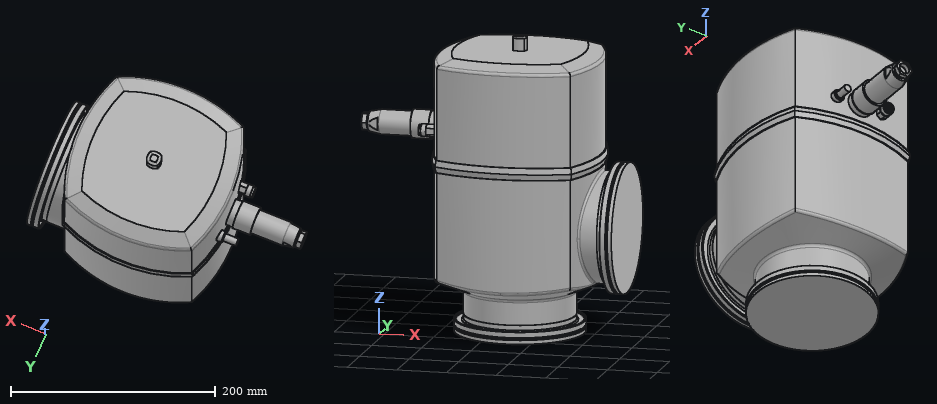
import cadquery as cq
import math


body_half_width = 82.0
body_half_corner = 67.3
body_top = 281.5
body_floor = 42.5
cone_angle = 22
roof_width = 17.0
roof_drop = 6.2
rim_radius = 3.5

band_height = 175.0
band_half_height = 6.2
band_edge_offset = 1.0
band_crest_offset = 2.2

neck_radius = 55.8
neck_end_relief = 0.3
neck_end_length = 5.0
flange_radius = 65.0
flange_thickness = 12.0
groove_start = 4.0
groove_slope_end = 5.0
groove_end = 6.5
groove_depth = 1.5
clamp_lip_width = 1.8
clamp_slope_width = 1.8
clamp_recess_depth = 1.2
side_flange_x = 108.0
side_port_height = 108.0
port_root_radius = 2.5

stem_half_width = 7.0
stem_half_corner = 5.5
stem_top = 295
stem_embed = 3
stem_chamfer_width = 3.5
stem_chamfer_height = 1.2

fitting_height = 201.5
fitting_root_x = -73.8
small_fitting_y = 26.3

connector_tip_x = -158.0
nut_flats = 16.0
nut_length = 5.3
nut_bore_radius = 5.5
connector_steps = [
    (connector_tip_x + nut_length, 7.7),
    (-151.3, 7.7),
    (-151.3, 10.0),
    (-139.8, 12.5),
    (-107.5, 12.5),
    (-107.5, 14.5),
    (-88.8, 14.5),
    (-88.8, 13.5),
    (fitting_root_x, 13.5),
]
grip_half_width = 10.3
grip_end_x = -141.0

plug_tip_x = -95.0
plug_hex_x = -87.3
plug_hex_flats = 11.0
plug_radius = 6.2
plug_tip_radius = 5.3
plug_tip_length = 2.5
plug_bore_radius = 3.8
plug_bore_depth = 2.5
plug_pin_radius = 1.5

pin_tip_x = -98.8
pin_radius = 3.8
pin_collar_x = -85.3
pin_collar_radius = 6.0
pin_collar_chamfer = 1.0

selection_margin = 0.3


def bulged_square(plane, half_width, half_corner):
    """Square outline with four outward arcs."""
    c = half_corner
    return (
        plane.moveTo(c, -c)
        .threePointArc((half_width, 0), (c, c))
        .threePointArc((0, half_width), (-c, c))
        .threePointArc((-half_width, 0), (-c, -c))
        .threePointArc((0, -half_width), (c, -c))
        .close()
    )


def offset_body_outline(height, offset):
    """Body outline moved outward by a distance, keeping the arc centres."""
    bulge = body_half_width - body_half_corner
    arc_radius = (body_half_corner**2 + bulge**2) / (2 * bulge)
    centre = arc_radius - body_half_width
    radius = arc_radius + offset
    corner = (math.sqrt(2 * radius**2 - centre**2) - centre) / 2
    plane = cq.Workplane("XY").workplane(offset=height)
    return bulged_square(plane, body_half_width + offset, corner)


def slab(bottom, top):
    """Selector for edges lying wholly between two heights."""
    reach = 2 * body_half_width
    low = (-reach, -reach, bottom - selection_margin)
    high = (reach, reach, top + selection_margin)
    return cq.selectors.BoxSelector(low, high, boundingbox=True)


def revolve_about_x(profile):
    """Solid of revolution about the X axis from (x, radius) points."""
    return cq.Workplane("XZ").polyline(profile).close().revolve(360, (0, 0), (1, 0))


def revolve_about_z(profile):
    """Solid of revolution about the Z axis from (radius, z) points, with its seam towards -Y."""
    solid = cq.Workplane("XZ").polyline(profile).close().revolve(360, (0, 0), (0, 1))
    return solid.rotate((0, 0, 0), (0, 0, 1), -90)


def x_cylinder(start_x, end_x, radius):
    return cq.Workplane("YZ", origin=(start_x, 0, 0)).circle(radius).extrude(end_x - start_x)


def hex_bar(start_x, end_x, flats, turn):
    """Hexagonal bar along X; turned by an angle about its own axis."""
    bar = cq.Workplane("YZ", origin=(start_x, 0, 0)).polygon(6, flats / math.cos(math.pi / 6))
    return bar.extrude(end_x - start_x).rotate((0, 0, 0), (1, 0, 0), turn)


def flanged_neck(length):
    """Grooved flange with its neck, standing on XY and rising along Z."""
    groove_radius = flange_radius - groove_depth
    lip_radius = flange_radius - clamp_lip_width
    recess = flange_thickness - clamp_recess_depth
    relief_radius = neck_radius - neck_end_relief
    relief_end = flange_thickness + neck_end_length
    profile = [
        (0, 0),
        (flange_radius, 0),
        (flange_radius, groove_start),
        (groove_radius, groove_slope_end),
        (groove_radius, groove_end),
        (flange_radius, groove_end),
        (flange_radius, flange_thickness),
        (lip_radius, flange_thickness),
        (lip_radius, recess),
        (relief_radius + clamp_slope_width, recess),
        (relief_radius, flange_thickness),
        (relief_radius, relief_end),
        (neck_radius, relief_end),
        (neck_radius, length),
        (0, length),
    ]
    return revolve_about_z(profile)


def make_body():
    prism = offset_body_outline(body_floor, 0).extrude(body_top - body_floor)
    prism = prism.faces(">Z").chamfer(roof_drop, roof_width)
    reach = 2 * body_half_width
    cone_rise = (reach - neck_radius) * math.tan(math.radians(cone_angle))
    envelope = revolve_about_z([
        (0, body_floor),
        (neck_radius, body_floor),
        (reach, body_floor + cone_rise),
        (reach, body_top),
        (0, body_top),
    ])
    body = prism.intersect(envelope)
    roof_rim_height = body_top - roof_drop
    body = body.edges(slab(roof_rim_height, roof_rim_height)).fillet(rim_radius)
    floor_rim = slab(body_floor + rim_radius, side_port_height)
    return body.edges(floor_rim).fillet(rim_radius)


def make_band():
    slope = math.degrees(math.atan((band_crest_offset - band_edge_offset) / band_half_height))
    upper = offset_body_outline(band_height, band_crest_offset).extrude(band_half_height, taper=slope)
    return upper.union(upper.mirror("XY", (0, 0, band_height)))


def make_stem():
    foot = body_top - stem_embed
    plane = cq.Workplane("XY").workplane(offset=foot)
    stem = bulged_square(plane, stem_half_width, stem_half_corner).extrude(stem_top - foot)
    return stem.faces(">Z").chamfer(stem_chamfer_height, stem_chamfer_width)


def make_side_port():
    """Flanged port on the +X side, starting at the body axis."""
    port = flanged_neck(side_flange_x)
    return port.rotate((0, 0, 0), (0, 1, 0), -90).translate((side_flange_x, 0, side_port_height))


def lies_at_port_root(edge):
    """True for an edge where the port tube leaves the body wall."""
    sample_positions = (0.1, 0.5, 0.9)
    for position in sample_positions:
        point = edge.positionAt(position)
        distance = math.hypot(point.y, point.z - side_port_height)
        on_tube = abs(distance - neck_radius) < selection_margin
        at_wall = body_half_corner < point.x < body_half_width + selection_margin
        if not (on_tube and at_wall):
            return False
    return True


def make_connector():
    """Stepped connector on the X axis with hexagon nut and wrench flats."""
    nut_end = connector_tip_x + nut_length
    connector = revolve_about_x([(nut_end, 0), *connector_steps, (fitting_root_x, 0)])
    grip_length = grip_end_x - nut_end
    cutter_size = 29.5
    for side in (-1, 1):
        cutter = cq.Workplane("XY").box(grip_length, cutter_size, cutter_size)
        y = side * (grip_half_width + cutter_size / 2)
        connector = connector.cut(cutter.translate((nut_end + grip_length / 2, y, 0)))
    nut = hex_bar(connector_tip_x, nut_end, nut_flats, 0)
    return connector.union(nut.cut(x_cylinder(connector_tip_x, nut_end, nut_bore_radius)))


def make_plug():
    """Small hexagon-based socket with a centre pin."""
    shoulder_x = plug_tip_x + plug_tip_length
    bore_end_x = plug_tip_x + plug_bore_depth
    plug = hex_bar(plug_hex_x, fitting_root_x, plug_hex_flats, 90)
    plug = plug.union(x_cylinder(shoulder_x, plug_hex_x, plug_radius))
    plug = plug.union(x_cylinder(plug_tip_x, shoulder_x, plug_tip_radius))
    plug = plug.cut(x_cylinder(plug_tip_x, bore_end_x, plug_bore_radius))
    return plug.union(x_cylinder(plug_tip_x, bore_end_x, plug_pin_radius))


def make_pin():
    """Small pin with a chamfered collar."""
    collar = x_cylinder(pin_collar_x, fitting_root_x, pin_collar_radius)
    collar = collar.faces("<X").chamfer(pin_collar_chamfer)
    return collar.union(x_cylinder(pin_tip_x, pin_collar_x, pin_radius))


def make_housing():
    """Body with the bottom neck and the side port, both with rounded roots."""
    housing = make_body().union(make_side_port())
    port_root = [edge for edge in housing.edges().vals() if lies_at_port_root(edge)]
    housing = housing.newObject(port_root).fillet(port_root_radius)
    housing = housing.union(flanged_neck(body_floor))
    return housing.edges(slab(body_floor, body_floor)).fillet(rim_radius)


result = make_housing()
result = result.union(make_band()).union(make_stem())
result = result.union(make_connector().translate((0, 0, fitting_height)))
result = result.union(make_plug().translate((0, -small_fitting_y, fitting_height)))
result = result.union(make_pin().translate((0, small_fitting_y, fitting_height)))